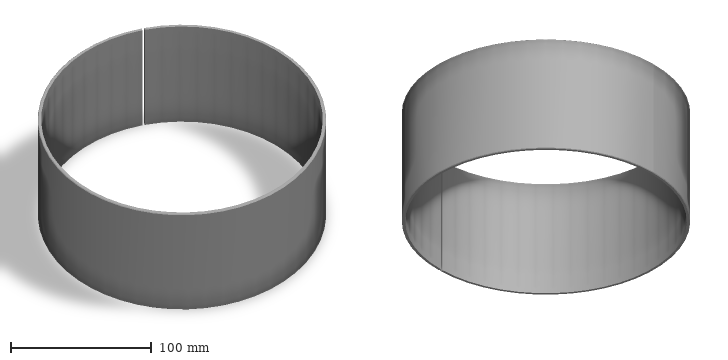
import cadquery as cq

outer_diameter = 205.0
height = 90.0
wall = 2.5
edge_chamfer = 0.5
slit_width = 1.75

outer_radius = outer_diameter / 2
inner_radius = outer_radius - wall

band = (
    cq.Workplane("XY")
    .circle(outer_radius)
    .extrude(height)
    .edges("%CIRCLE")
    .chamfer(edge_chamfer)
    .faces(">Z")
    .workplane()
    .circle(inner_radius)
    .cutThruAll()
)

slit_length = 4 * wall
slit = (
    cq.Workplane("XY")
    .center(-outer_radius, slit_width / 2)
    .rect(slit_length, slit_width)
    .extrude(height)
)

result = band.cut(slit)